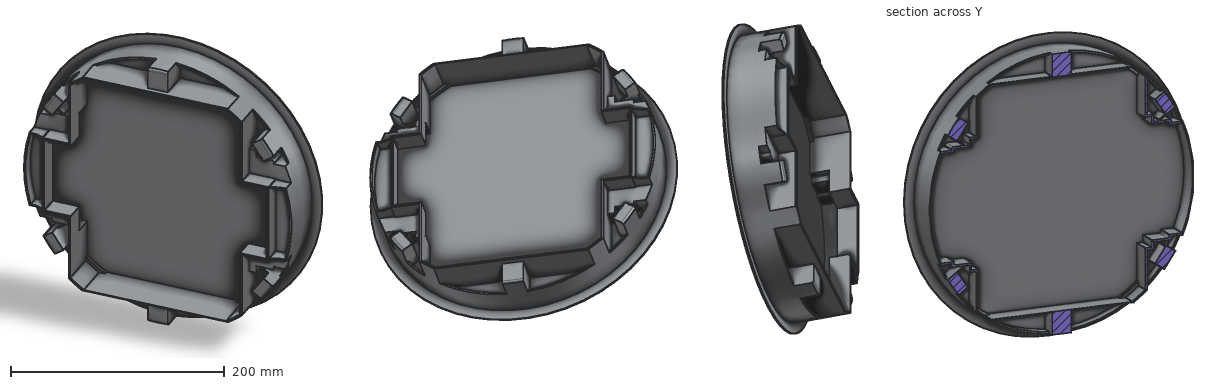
import cadquery as cq
RIM_EDGE_DEPTH = 2.2
RIM_DEPTH = 3.5
LID_DEPTH = 17.5
FLOOR_DEPTH = 21.2
DECK_DEPTH = 31.0
BLOCK_DEPTH = 39.0
SKIRT_DEPTH = 50.5
BOX_DEPTH = 57.0

RIM_RADIUS = 147.0
RIM_BACK_RADIUS = 138.0
RIM_BULGE = 0.5
SKIRT_BACK_RADIUS = 137.1
SKIRT_FRONT_RADIUS = 136.8
SKIRT_WALL = 1.8
BORE_RADIUS = SKIRT_FRONT_RADIUS - SKIRT_WALL
LEDGE_RADIUS = 132.0

BOX_HALF_WIDTH = 88.5
BOX_HALF_HEIGHT = 115.0
ARM_HALF_WIDTH = 115.5
ARM_HALF_HEIGHT = 40.0
BOX_WALL = 2.2
BOX_END_WALL = 1.25
LIP_HEIGHT = 1.0
BOX_LIP_INSET = 0.3
ARM_LIP_INSET = 0.7
GUSSET_HALF_HEIGHT = ARM_HALF_HEIGHT - 0.8

BLOCK_STEP_XS = (95.3, 113.5)
BLOCK_STEP_ZS = (65.8, 58.8, 55.5)
BLOCK_STEP_ROUND = 1.8
BLOCK_WALL = 2.5

GUSSET_ROOT_DEPTH = 54.0
GUSSET_RUN = 9.0

TAB_WIDTH = 20.2
TAB_FILLET = 3.0
TAB_ROUND_RADIUS = SKIRT_BACK_RADIUS
CORNER_TAB_ANGLE = 35.0
CORNER_TAB_LENGTH = 12.2
FIN_WALL = 1.5
FIN_LENGTH = 8.0


def plane_at(depth):
    """XZ plane at a depth, extruding toward the front (-Y)."""
    return cq.Workplane("XZ", origin=(0, -depth, 0))


def disc(radius, start, end):
    return plane_at(start).circle(radius).extrude(end - start)


def block(width, height, start, end):
    return plane_at(start).rect(width, height).extrude(end - start)


def skirt_radius(depth):
    taper = (SKIRT_BACK_RADIUS - SKIRT_FRONT_RADIUS) / SKIRT_DEPTH
    return SKIRT_BACK_RADIUS - taper * depth


def skirt_cone(start, end):
    """Solid bounded by the tapered outside of the skirt."""
    return (
        cq.Workplane("XY")
        .moveTo(0, -start)
        .lineTo(-skirt_radius(start), -start)
        .lineTo(-skirt_radius(end), -end)
        .lineTo(0, -end)
        .close()
        .revolve(360, (0, 0, 0), (0, 1, 0))
    )


def rim():
    """Flange with a domed back, flat underneath."""
    mid_radius = (RIM_BACK_RADIUS + RIM_RADIUS) / 2
    mid_depth = RIM_EDGE_DEPTH / 2 - RIM_BULGE
    return (
        cq.Workplane("XY")
        .lineTo(-RIM_BACK_RADIUS, 0)
        .threePointArc((-mid_radius, -mid_depth), (-RIM_RADIUS, -RIM_EDGE_DEPTH))
        .lineTo(-RIM_RADIUS, -RIM_DEPTH)
        .lineTo(0, -RIM_DEPTH)
        .close()
        .revolve(360, (0, 0, 0), (0, 1, 0))
    )


def cross(core_width, core_height, arm_width, arm_height, start, end):
    """Rectangular core with a wider, lower arm across it, from half sizes."""
    core = block(2 * core_width, 2 * core_height, start, end)
    return core.union(block(2 * arm_width, 2 * arm_height, start, end))


def box_outside():
    """Outer shape of the box, set in slightly along its front lip."""
    lip_start = BOX_DEPTH - LIP_HEIGHT
    walls = cross(
        BOX_HALF_WIDTH, BOX_HALF_HEIGHT, ARM_HALF_WIDTH, ARM_HALF_HEIGHT, FLOOR_DEPTH, lip_start
    )
    lip = cross(
        BOX_HALF_WIDTH - BOX_LIP_INSET,
        BOX_HALF_HEIGHT - BOX_LIP_INSET,
        ARM_HALF_WIDTH - ARM_LIP_INSET,
        ARM_HALF_HEIGHT - ARM_LIP_INSET,
        lip_start,
        BOX_DEPTH,
    )
    return walls.union(lip)


def box_inside():
    """Inner shape of the box, opened slightly inside the front lip of the arms."""
    core_width = BOX_HALF_WIDTH - BOX_WALL
    core_height = BOX_HALF_HEIGHT - BOX_END_WALL
    arm_width = ARM_HALF_WIDTH - BOX_WALL
    arm_height = ARM_HALF_HEIGHT - BOX_WALL
    walls = cross(core_width, core_height, arm_width, arm_height, LID_DEPTH, BOX_DEPTH)
    lip = block(
        2 * (arm_width + ARM_LIP_INSET),
        2 * (arm_height + ARM_LIP_INSET),
        BOX_DEPTH - LIP_HEIGHT,
        BOX_DEPTH,
    )
    return walls.union(lip)


def stepped_block(inset, start, end):
    """Full-width band whose top and bottom edges step down toward the skirt."""
    inner_x, outer_x = (x - inset for x in BLOCK_STEP_XS)
    high_z, middle_z, low_z = (z - inset for z in BLOCK_STEP_ZS)
    band = block(2 * inner_x, 2 * high_z, start, end)
    middle = block(2 * outer_x, 2 * middle_z, start, end).edges("|Y").fillet(BLOCK_STEP_ROUND)
    return band.union(middle).union(block(2 * RIM_RADIUS, 2 * low_z, start, end))


def arm_surround():
    """Skirt wall and sloping gussets around the outer end of each arm."""
    wall = block(2 * RIM_RADIUS, 2 * GUSSET_HALF_HEIGHT, BLOCK_DEPTH, SKIRT_DEPTH)
    wall = wall.cut(disc(BORE_RADIUS, BLOCK_DEPTH, SKIRT_DEPTH))
    gusset_end = ARM_HALF_WIDTH + GUSSET_RUN
    gussets = (
        cq.Workplane("XY", origin=(0, 0, -GUSSET_HALF_HEIGHT))
        .moveTo(-RIM_RADIUS, -BLOCK_DEPTH)
        .lineTo(-RIM_RADIUS, -SKIRT_DEPTH)
        .lineTo(-gusset_end, -SKIRT_DEPTH)
        .lineTo(-ARM_HALF_WIDTH, -GUSSET_ROOT_DEPTH)
        .lineTo(ARM_HALF_WIDTH, -GUSSET_ROOT_DEPTH)
        .lineTo(gusset_end, -SKIRT_DEPTH)
        .lineTo(RIM_RADIUS, -SKIRT_DEPTH)
        .lineTo(RIM_RADIUS, -BLOCK_DEPTH)
        .close()
        .extrude(2 * GUSSET_HALF_HEIGHT)
    )
    pocket_height = 2 * (ARM_HALF_HEIGHT - BOX_WALL)
    gussets = gussets.cut(block(2 * RIM_RADIUS, pocket_height, BLOCK_DEPTH, BOX_DEPTH))
    return wall.union(gussets)


def tab_round():
    """Disc with a rounded front edge that shapes the tab tips."""
    return disc(TAB_ROUND_RADIUS, FLOOR_DEPTH, SKIRT_DEPTH).faces("<Y").edges().fillet(TAB_FILLET)


def tab(inner_radius):
    """Tab on the +X side, rounded at its tip and reaching just past the skirt."""
    length = RIM_RADIUS - inner_radius
    bar = (
        plane_at(FLOOR_DEPTH)
        .center(inner_radius + length / 2, 0)
        .rect(length, TAB_WIDTH)
        .extrude(SKIRT_DEPTH - FLOOR_DEPTH)
    )
    return bar.intersect(tab_round())


def corner_tab():
    """Tab with a low fin running inward from its lower side."""
    inner_radius = SKIRT_FRONT_RADIUS - CORNER_TAB_LENGTH
    fin = (
        plane_at(FLOOR_DEPTH)
        .center(inner_radius - FIN_LENGTH / 2, (FIN_WALL - TAB_WIDTH) / 2)
        .rect(FIN_LENGTH, FIN_WALL)
        .extrude(BLOCK_DEPTH - FLOOR_DEPTH)
    )
    return tab(inner_radius).union(fin).rotate((0, 0, 0), (0, 1, 0), -CORNER_TAB_ANGLE)


def tabs():
    end_tab = tab(BOX_HALF_HEIGHT - BOX_END_WALL).rotate((0, 0, 0), (0, 1, 0), -90)
    side_tabs = corner_tab().union(corner_tab().mirror("XY"))
    return end_tab.union(end_tab.mirror("XY")).union(side_tabs).union(side_tabs.mirror("YZ"))


def interior():
    """Hollow under the stepped blocks joined to the box, which keeps a ledge over the lid."""
    hollow = stepped_block(BLOCK_WALL, LID_DEPTH, BLOCK_DEPTH - BLOCK_WALL)
    hollow = hollow.intersect(disc(BORE_RADIUS, LID_DEPTH, BOX_DEPTH))
    box_bore = disc(LEDGE_RADIUS, LID_DEPTH, FLOOR_DEPTH)
    box_bore = box_bore.union(disc(BORE_RADIUS, FLOOR_DEPTH, BOX_DEPTH))
    return hollow.union(box_inside().intersect(box_bore))


def build_frame():
    skirt = disc(RIM_RADIUS, 0, DECK_DEPTH).cut(disc(BORE_RADIUS, FLOOR_DEPTH, DECK_DEPTH))
    shape = skirt.union(stepped_block(0, FLOOR_DEPTH, BLOCK_DEPTH)).union(box_outside())
    shape = shape.union(arm_surround()).union(tabs())
    shape = shape.intersect(skirt_cone(0, BOX_DEPTH)).union(rim())
    return shape.cut(interior()).cut(disc(BORE_RADIUS, 0, LID_DEPTH))


def build_lid():
    return disc(BORE_RADIUS, 0, LID_DEPTH)


frame = build_frame()
lid = build_lid()
result = cq.Compound.makeCompound([frame.val(), lid.val()])